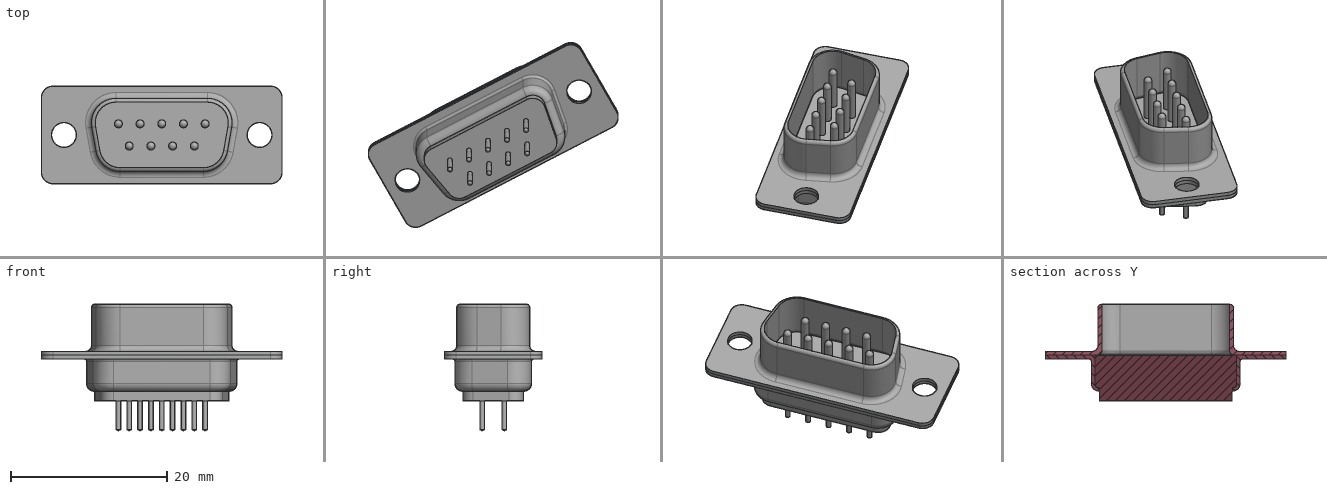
import cadquery as cq
import math

sheet = 0.5
flange_length = 30.8
flange_width = 12.5
flange_corner_radius = 1.5
mount_hole_diameter = 3.15
mount_hole_x = 12.5

side_angle = 10.0

front_top_z = 6.53
front_half_height = 4.68
front_corner_radius = 3.15
front_wide_center_x = 5.85
front_flange_bend = 0.75
front_rim_round = 0.45
front_mouth_round = 0.55

rear_bottom_z = -4.62
rear_half_height = 4.9
rear_corner_radius = 2.62
rear_narrow_center_x = 6.2
rear_flange_bend = 0.35
rear_bottom_round = 1.0

insulator_bottom_z = -5.85
neck_inset = 1.02

contact_pitch = 2.77
row_y = 1.42
wide_row_count = 5
narrow_row_count = 4
contact_diameter = 1.02
contact_top_z = 6.05
tail_diameter = 0.62
tail_bottom_z = -9.67
tail_tip_height = 0.15

taper = 2 * math.tan(math.radians(side_angle))
front_center_y = front_half_height - front_corner_radius
front_narrow_center_x = front_wide_center_x - taper * front_center_y
rear_center_y = rear_half_height - rear_corner_radius
rear_wide_center_x = rear_narrow_center_x + taper * rear_center_y


def d_prism(wide_center_x, narrow_center_x, center_y, radius, z_start, z_end):
    """Prism with a D-shaped section, wide side towards +Y."""
    centers = [
        (-wide_center_x, center_y),
        (-narrow_center_x, -center_y),
        (narrow_center_x, -center_y),
        (wide_center_x, center_y),
    ]
    outline = cq.Workplane("XY").workplane(offset=z_start).polyline(centers).close().offset2D(radius, "arc")
    return outline.extrude(z_end - z_start)


def front_prism(inset, z_start, z_end):
    radius = front_corner_radius - inset
    return d_prism(front_wide_center_x, front_narrow_center_x, front_center_y, radius, z_start, z_end)


def rear_prism(inset, z_start, z_end):
    radius = rear_corner_radius - inset
    return d_prism(rear_wide_center_x, rear_narrow_center_x, rear_center_y, radius, z_start, z_end)


def flange(z_start):
    """One rounded mounting plate, a sheet thick, with its two screw holes."""
    plate = cq.Workplane("XY").workplane(offset=z_start).rect(flange_length, flange_width).extrude(sheet)
    plate = plate.edges("|Z").fillet(flange_corner_radius)
    holes = [(-mount_hole_x, 0), (mount_hole_x, 0)]
    return plate.faces(">Z").workplane(origin=(0, 0, 0)).pushPoints(holes).hole(mount_hole_diameter)


def d_edges_at(z, half_height):
    """Selector for D-outline edges in the plane at height z, between the two screw holes."""
    reach = mount_hole_x - mount_hole_diameter / 2
    tolerance = 0.003
    low = (-reach, -half_height - tolerance, z - tolerance)
    high = (reach, half_height + tolerance, z + tolerance)
    return cq.selectors.BoxSelector(low, high, boundingbox=True)


def make_front_shell():
    shell = flange(0).union(front_prism(0, 0, front_top_z))
    shell = shell.edges(d_edges_at(sheet, front_half_height)).fillet(front_flange_bend)
    shell = shell.edges(d_edges_at(front_top_z, front_half_height)).fillet(front_rim_round)
    shell = shell.cut(front_prism(sheet, 0, front_top_z))
    return shell.edges(d_edges_at(0, front_half_height - sheet)).fillet(front_mouth_round)


def rear_cavity():
    """Inside of the rear shell; the insulator's shoulder fills the same space."""
    cavity = rear_prism(sheet, rear_bottom_z + sheet, 0)
    return cavity.faces("<Z").edges().fillet(rear_bottom_round - sheet)


def make_rear_shell():
    shell = flange(-sheet).union(rear_prism(0, rear_bottom_z, 0))
    shell = shell.edges(d_edges_at(-sheet, rear_half_height)).fillet(rear_flange_bend)
    shell = shell.edges(d_edges_at(rear_bottom_z, rear_half_height)).fillet(rear_bottom_round)
    return shell.cut(rear_cavity()).cut(rear_prism(neck_inset, rear_bottom_z, 0))


def make_contact():
    """Round-nosed contact at the front, thinner tail with a conical tip at the rear."""
    nose = contact_diameter / 2
    tail = tail_diameter / 2
    nose_z = contact_top_z - nose
    nose_mid = (nose * math.sin(math.radians(45)), nose_z + nose * math.cos(math.radians(45)))
    profile = (
        cq.Workplane("XZ")
        .moveTo(0, tail_bottom_z)
        .lineTo(tail, tail_bottom_z + tail_tip_height)
        .lineTo(tail, 0)
        .lineTo(nose, 0)
        .lineTo(nose, nose_z)
        .threePointArc(nose_mid, (0, contact_top_z))
        .close()
    )
    return profile.revolve(360, (0, 0, 0), (0, 1, 0))


def row_positions(count, y):
    return [((i - (count - 1) / 2) * contact_pitch, y) for i in range(count)]


def make_insulator():
    shoulder = rear_cavity()
    neck = rear_prism(neck_inset, insulator_bottom_z, 0)
    insulator = shoulder.union(neck)
    contact = make_contact()
    for x, y in row_positions(wide_row_count, row_y) + row_positions(narrow_row_count, -row_y):
        insulator = insulator.union(contact.translate((x, y, 0)))
    return insulator


front_shell = make_front_shell()
rear_shell = make_rear_shell()
insulator = make_insulator()

result = cq.Compound.makeCompound([front_shell.val(), rear_shell.val(), insulator.val()])